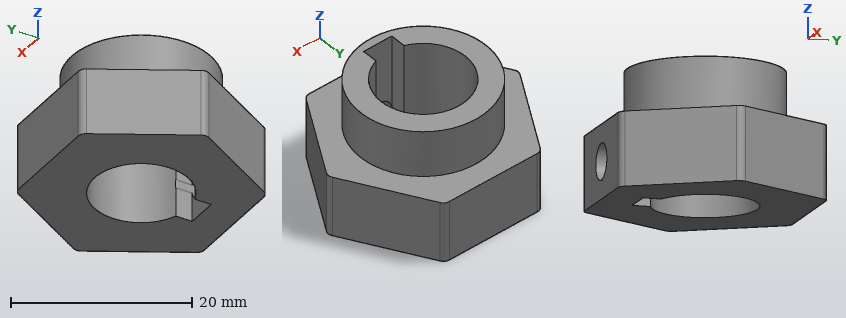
import cadquery as cq
import math

width_over_corners = 27.4
across_flats = 24.0
base_height = 8.5

total_height = 15.0
collar_diameter = 18.0
bore_diameter = 12.08
keyway_width = 4.05
keyway_reach = 7.8

screw_hole_diameter = 4.2
screw_hole_height = base_height / 2

corner_ratio = 1 / math.cos(math.pi / 6)
sharp_width = across_flats * corner_ratio
corner_radius = (sharp_width - width_over_corners) / (2 * (corner_ratio - 1))


def make_base():
    hexagon = cq.Workplane("XY").polygon(6, sharp_width).extrude(base_height)
    return hexagon.edges("|Z").fillet(corner_radius)


def make_collar():
    return cq.Workplane("XY").circle(collar_diameter / 2).extrude(total_height)


def make_keyed_bore():
    bore = cq.Workplane("XY").circle(bore_diameter / 2).extrude(total_height)
    keyway = (
        cq.Workplane("XY")
        .center(0, -keyway_reach / 2)
        .rect(keyway_width, keyway_reach)
        .extrude(total_height)
    )
    return bore.union(keyway)


def make_screw_hole():
    return (
        cq.Workplane("XZ")
        .center(0, screw_hole_height)
        .circle(screw_hole_diameter / 2)
        .extrude(across_flats / 2)
    )


result = make_base().union(make_collar()).cut(make_keyed_bore()).cut(make_screw_hole())